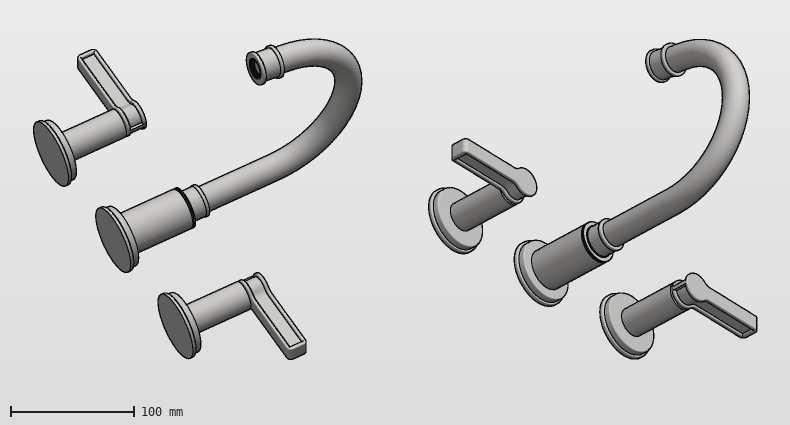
import cadquery as cq
import math


TOLERANCE = 0.01

FITTING_SPACING = 101.6

FLANGE_RADIUS = 28.575
FLANGE_THICKNESS = 3.4
STEP_RADIUS = 26.5
FLANGE_HEIGHT = 9.2
FLANGE_ROUNDING = 1.0

POST_RADIUS = 12.5
POST_TOP = 63.5

HANDLE_GAP = 1.27
HANDLE_WIDTH = 17.78
HUB_RADIUS = POST_RADIUS
LEVER_REACH = 72.39
BAR_HALF_THICKNESS = 6.8
HUB_BLEND_RADIUS = 8.5
TIP_CORNER_RADIUS = 4.0
HANDLE_ROUNDING = 0.9
SIDE_RIM_WIDTH = 3.2
TIP_RIM_WIDTH = 4.0
RIM_INNER_ROUNDING = 1.0
RECESS_DEPTH = 2.4
WEB_HALF_THICKNESS = 2.0

BODY_RADIUS = 17.7
BODY_TOP = 67.0
BODY_GROOVE_START = 64.6
BODY_GROOVE_WIDTH = 1.2
BODY_GROOVE_DEPTH = 0.4
RING_RADIUS = 14.0
RING_ROUNDING = 0.5
COLLAR_RADIUS = 13.4
COLLAR_SEAT_TOP = 67.8
COLLAR_TOP = POST_TOP + HANDLE_GAP + HANDLE_WIDTH
COLLAR_RING_WIDTH = 3.0
TUBE_RADIUS = 11.1
SPOUT_REACH = 231.03
BEND_RADIUS = 69.85
BEND_ANGLE = 172.5
BEND_START = SPOUT_REACH - BEND_RADIUS - TUBE_RADIUS

OUTLET_LENGTH = 27.0
OUTLET_RADIUS = 12.4
OUTLET_RING_WIDTH = 2.9
FIRST_RING_START = 7.1
MOUTH_RADII = (8.8, 7.7, 6.6, 5.6)
MOUTH_STEP_DEPTH = 0.8


def disc(radius, start, end):
    """Cylinder about the Y axis from y = start to y = end."""
    return cq.Workplane("XZ", origin=(0, start, 0)).circle(radius).extrude(start - end)


def rounded_ring(radius, start, end):
    return disc(radius, start, end).edges().fillet(RING_ROUNDING)


def make_flange():
    foot = disc(FLANGE_RADIUS, 0, FLANGE_THICKNESS).faces(">Y").edges().fillet(FLANGE_ROUNDING)
    step = disc(STEP_RADIUS, 0, FLANGE_HEIGHT).faces(">Y").edges().fillet(FLANGE_ROUNDING)
    return foot.union(step)


def make_post():
    column = disc(POST_RADIUS, 0, POST_TOP)
    return make_flange().union(column)


def lever_prism(inset, start, end):
    """Hub and bar outline, shrunk by inset, as a prism from y = start to y = end."""
    hub = HUB_RADIUS - inset
    half = BAR_HALF_THICKNESS - inset
    blend = HUB_BLEND_RADIUS + inset
    center_distance = hub + blend
    blend_z = half + blend
    blend_x = math.sqrt(center_distance**2 - blend_z**2)
    meet_x = blend_x * hub / center_distance
    meet_z = blend_z * hub / center_distance
    meet_angle = math.atan2(-blend_z, -blend_x) % (2 * math.pi)
    mid_angle = (meet_angle + 1.5 * math.pi) / 2
    mid_x = blend_x + blend * math.cos(mid_angle)
    mid_z = blend_z + blend * math.sin(mid_angle)
    return (
        cq.Workplane("XZ", origin=(0, start, 0))
        .moveTo(LEVER_REACH, half)
        .lineTo(blend_x, half)
        .threePointArc((mid_x, mid_z), (meet_x, meet_z))
        .threePointArc((-hub, 0), (meet_x, -meet_z))
        .threePointArc((mid_x, -mid_z), (blend_x, -half))
        .lineTo(LEVER_REACH, -half)
        .close()
        .extrude(start - end)
    )


def make_recess(start, end):
    """Shallow pocket sunk into the +Z and -Z sides, broken by a web at the back of the hub."""
    inner_start = start + SIDE_RIM_WIDTH
    inner_end = end - SIDE_RIM_WIDTH
    floor_to_surface = lever_prism(-RECESS_DEPTH, inner_start, inner_end).cut(
        lever_prism(RECESS_DEPTH, inner_start, inner_end)
    )
    tip_end = LEVER_REACH - TIP_RIM_WIDTH
    back = -HUB_RADIUS - RECESS_DEPTH
    size = 2 * (HUB_RADIUS + RECESS_DEPTH)
    envelope = (
        cq.Workplane("XY")
        .box(tip_end - back, end - start, size, centered=(False, False, True))
        .translate((back, start, 0))
    )
    web = cq.Workplane("XY").box(2 * LEVER_REACH, 2 * end, 2 * WEB_HALF_THICKNESS)
    return floor_to_surface.intersect(envelope).cut(web)


def lies_on_outer_surface(edge):
    """True for an edge of the pocket mouth that follows the bar, the blend or the hub."""
    if edge.geomType() == "LINE":
        return abs(abs(edge.Center().z) - BAR_HALF_THICKNESS) < TOLERANCE
    return min(abs(edge.radius() - HUB_RADIUS), abs(edge.radius() - HUB_BLEND_RADIUS)) < TOLERANCE


def round_pocket_mouths(handle, start, end):
    for side in (-1, 1):
        mouth_box = cq.selectors.BoxSelector(
            (-2 * HUB_RADIUS, start + SIDE_RIM_WIDTH / 2, 0),
            (LEVER_REACH - TIP_RIM_WIDTH / 2, end - SIDE_RIM_WIDTH / 2, side * 2 * HUB_RADIUS),
            boundingbox=True,
        )
        mouth = handle.edges(mouth_box).filter(lies_on_outer_surface)
        handle = handle.newObject(mouth.vals()).fillet(RIM_INNER_ROUNDING)
    return handle


def make_handle():
    start = POST_TOP + HANDLE_GAP
    end = start + HANDLE_WIDTH
    handle = lever_prism(0, start, end).faces(">X").edges("|Z").fillet(TIP_CORNER_RADIUS)
    handle = handle.faces("<Y or >Y").edges().fillet(HANDLE_ROUNDING)
    handle = handle.cut(make_recess(start, end))
    return round_pocket_mouths(handle, start, end)


def make_outlet():
    """Outlet with two rings, built from y = 0 along +Y, with a stepped mouth at its end."""
    second_ring_start = OUTLET_LENGTH - OUTLET_RING_WIDTH
    outlet = disc(TUBE_RADIUS, 0, FIRST_RING_START + OUTLET_RING_WIDTH)
    barrel = disc(OUTLET_RADIUS, FIRST_RING_START + RING_ROUNDING, OUTLET_LENGTH - RING_ROUNDING)
    outlet = outlet.union(barrel)
    for ring_start in (FIRST_RING_START, second_ring_start):
        outlet = outlet.union(rounded_ring(RING_RADIUS, ring_start, ring_start + OUTLET_RING_WIDTH))
    for count, radius in enumerate(MOUTH_RADII, start=1):
        outlet = outlet.cut(disc(radius, OUTLET_LENGTH - count * MOUTH_STEP_DEPTH, OUTLET_LENGTH))
    return outlet


def make_body_groove():
    groove_end = BODY_GROOVE_START + BODY_GROOVE_WIDTH
    core = disc(BODY_RADIUS - BODY_GROOVE_DEPTH, BODY_GROOVE_START, groove_end)
    return disc(BODY_RADIUS, BODY_GROOVE_START, groove_end).cut(core)


def make_spout():
    body = disc(BODY_RADIUS, 0, BODY_TOP).cut(make_body_groove())
    seat = disc(RING_RADIUS, 0, COLLAR_SEAT_TOP)
    collar = disc(COLLAR_RADIUS, 0, COLLAR_TOP - RING_ROUNDING)
    collar_ring = rounded_ring(RING_RADIUS, COLLAR_TOP - COLLAR_RING_WIDTH, COLLAR_TOP)
    tube = disc(TUBE_RADIUS, 0, BEND_START)
    bend = (
        cq.Workplane("XZ", origin=(0, BEND_START, 0))
        .circle(TUBE_RADIUS)
        .revolve(BEND_ANGLE, (-1, BEND_RADIUS), (1, BEND_RADIUS))
    )
    outlet = (
        make_outlet()
        .translate((0, BEND_START, 0))
        .rotate((0, BEND_START, BEND_RADIUS), (1, BEND_START, BEND_RADIUS), BEND_ANGLE)
    )
    spout = make_flange()
    for piece in (body, seat, collar, collar_ring, tube, bend, outlet):
        spout = spout.union(piece)
    return spout


spout = make_spout()

posts = []
handles = []
for side in (-1, 1):
    shift = (side * FITTING_SPACING, 0, 0)
    posts.append(make_post().translate(shift))
    handle = make_handle()
    if side < 0:
        handle = handle.mirror("YZ")
    handles.append(handle.translate(shift))

result = cq.Compound.makeCompound(
    [spout.val(), *[post.val() for post in posts], *[handle.val() for handle in handles]]
)